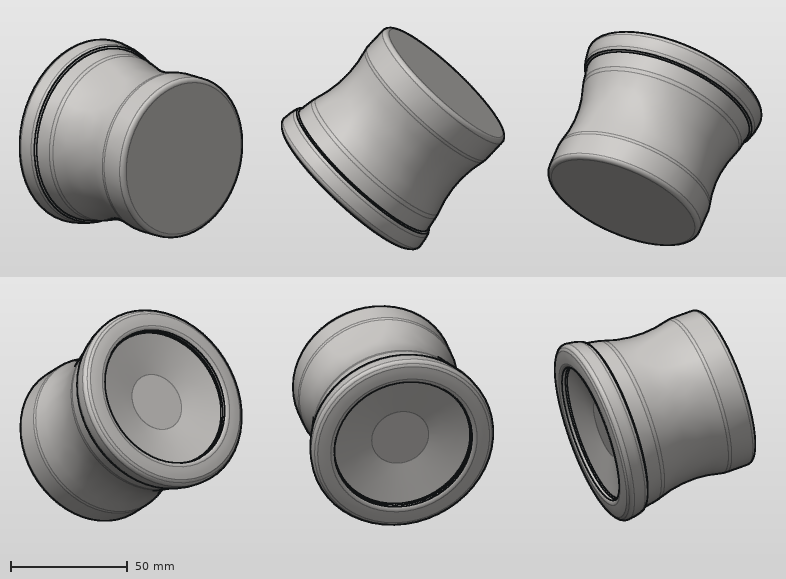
import cadquery as cq
import math


length = 62.9
base_radius = 70.0 / 2
base_round = 2.0

rim_radius = 40.0
rim_depth = 10.8
bore_radius = 30.1
mouth_depth = 0.7
mouth_radius = 32.05
mouth_middle = (0.2, 30.85)
front_face_middle = (0.15, 34.85)
front_face_edge = (0.6, 37.65)
front_round_middle = (0.95, 38.3)
front_round_edge = (1.35, 38.85)
crest_middle = (2.15, 39.65)
rim_crest = (3.3, rim_radius)
rim_side_middle = (6.1, 39.65)
rim_back_edge = (8.7, 39.0)
back_round_middle = (9.5, 38.8)
back_round_edge = (10.2, 38.4)
shoulder_radius = 37.5

plug_front = 2.3
dish_start = 3.0
dish_floor = 7.4
dish_rim_radius = 29.7
dish_floor_radius = 12.5

shoulder_end = (17.4, 36.4)
waist_start = (19.2, 35.9)
waist_middle = (35.65, 33.0)
waist_end = (49.55, 34.8)
base_start = 51.0


def revolve_about_x(profile):
    """Close a half profile and turn it into a solid of revolution."""
    return profile.close().revolve(360, (0, 0, 0), (1, 0, 0))


def make_rim_ring():
    """Rounded ring with a slightly domed front and a rounded bore mouth."""
    profile = (
        cq.Workplane("XY")
        .moveTo(rim_depth, bore_radius)
        .lineTo(mouth_depth, bore_radius)
        .threePointArc(mouth_middle, (0, mouth_radius))
        .threePointArc(front_face_middle, front_face_edge)
        .threePointArc(front_round_middle, front_round_edge)
        .threePointArc(crest_middle, rim_crest)
        .threePointArc(rim_side_middle, rim_back_edge)
        .threePointArc(back_round_middle, back_round_edge)
        .lineTo(rim_depth, shoulder_radius)
    )
    return revolve_about_x(profile)


def make_knob():
    """Solid waisted knob whose dished front end plugs the ring bore."""
    corner_cut = base_round * (1 - math.sqrt(0.5))
    base_round_middle = (length - corner_cut, base_radius - corner_cut)
    profile = (
        cq.Workplane("XY")
        .moveTo(dish_floor, 0)
        .lineTo(dish_floor, dish_floor_radius)
        .lineTo(dish_start, dish_rim_radius)
        .lineTo(plug_front, bore_radius)
        .lineTo(rim_depth, bore_radius)
        .lineTo(rim_depth, shoulder_radius)
        .lineTo(*shoulder_end)
        .lineTo(*waist_start)
        .threePointArc(waist_middle, waist_end)
        .lineTo(base_start, base_radius)
        .lineTo(length - base_round, base_radius)
        .threePointArc(base_round_middle, (length, base_radius - base_round))
        .lineTo(length, 0)
    )
    return revolve_about_x(profile)


rim_ring = make_rim_ring()
knob = make_knob()
result = cq.Compound.makeCompound([rim_ring.val(), knob.val()])